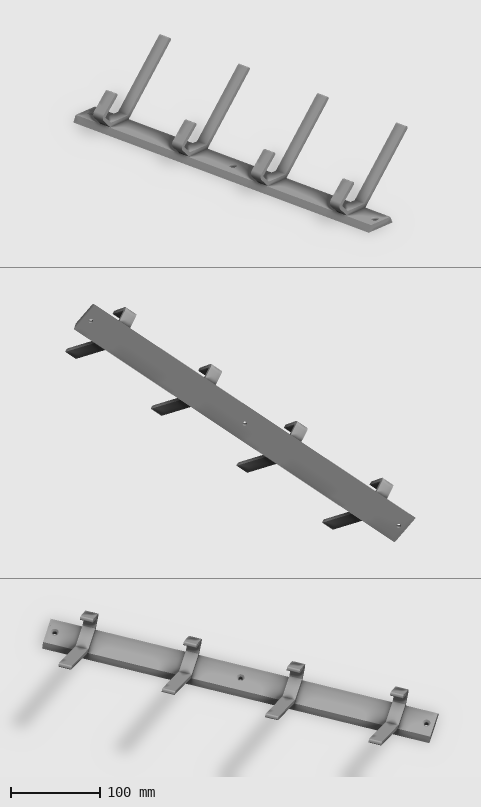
import cadquery as cq
import math


overall_length = 450.0
cap_thickness = 2.0
rail_length = overall_length - 2 * cap_thickness
rail_back_width = 39.0
rail_face_width = 31.5
rail_height = 8.0

screw_spacing = 216.0
screw_count = 3
screw_hole_diameter = 5.0
countersink_diameter = 9.0
countersink_angle = 90.0

hook_count = 4
hook_pitch = 120.0
hook_width = 15.0
strip_thickness = 4.5
foot_thickness = 5.5
arm_angle = 46.9
lip_angle = 45.0
foot_half_length = 15.0
overall_height = 86.0
lip_top_height = 46.5
tip_radius = 2.0
front_bend_height = 23.0
front_bend_outer_radius = 6.0
front_bend_inner_radius = front_bend_outer_radius - strip_thickness


def spaced(count, pitch):
    """Positions of evenly spaced items, centred on zero."""
    return [(i - (count - 1) / 2) * pitch for i in range(count)]


def bevelled_bar(start_x, length):
    """Bar along X with the rail's trapezoid section."""
    section = [
        (-rail_back_width / 2, 0),
        (rail_back_width / 2, 0),
        (rail_face_width / 2, rail_height),
        (-rail_face_width / 2, rail_height),
    ]
    return cq.Workplane("YZ", origin=(start_x, 0, 0)).polyline(section).close().extrude(length)


def make_rail():
    """Bevelled bar between the end caps, with a row of countersunk screw holes."""
    rail = bevelled_bar(-rail_length / 2, rail_length)
    return (
        rail.faces(">Z").workplane(origin=(0, 0, rail_height))
        .pushPoints([(x, 0) for x in spaced(screw_count, screw_spacing)])
        .cskHole(screw_hole_diameter, countersink_diameter, countersink_angle)
    )


def make_end_cap(start_x):
    """Thin plate with the rail's section that closes one end of the rail."""
    return bevelled_bar(start_x, cap_thickness)


def sloped(point, length, angle):
    """The (Y, Z) point reached from another by a straight move at an angle from +Y, in degrees."""
    y, z = point
    return (y + length * math.cos(math.radians(angle)), z + length * math.sin(math.radians(angle)))


def point_at_height(start, angle, height):
    """Where a line from a (Y, Z) point at a slope above +Y reaches a height."""
    return sloped(start, (height - start[1]) / math.sin(math.radians(angle)), angle)


def foot_inner_half(angle):
    """Y distance from the rail centre to where a leg at a slope leaves the top of the foot."""
    slope = math.radians(angle)
    return foot_half_length + foot_thickness / math.tan(slope) - strip_thickness / math.sin(slope)


def corner_overshoot(angle):
    """How far a square strip end's top corner stands above its rounded form, at a strip slope."""
    slope = math.radians(angle)
    return tip_radius * (math.sin(slope) + math.cos(slope) - 1)


def round_edge(body, corner, radius):
    """Fillet the X-direction edge that passes through a (Y, Z) corner."""
    nearest = cq.selectors.NearestToPointSelector((0, *corner))
    return body.edges("|X").edges(nearest).fillet(radius)


def make_hook(center_x):
    """Bent strip: long arm, slightly thicker flat foot, short leg and folded-back lip."""
    foot_top = rail_height + foot_thickness

    foot_back = (foot_half_length, rail_height)
    foot_front = (-foot_half_length, rail_height)
    foot_back_inner = (foot_inner_half(arm_angle), foot_top)
    foot_front_inner = (-foot_inner_half(lip_angle), foot_top)
    bend_outer = point_at_height(foot_front, 180 - lip_angle, front_bend_height)
    bend_inner = sloped(bend_outer, strip_thickness / math.sin(math.radians(lip_angle)), 0)

    arm_corner_height = overall_height + corner_overshoot(arm_angle)
    arm_end_height = arm_corner_height - strip_thickness * math.cos(math.radians(arm_angle))
    lip_end_height = lip_top_height + corner_overshoot(lip_angle)
    arm_outer_end = point_at_height(foot_back, arm_angle, arm_end_height)
    arm_inner_end = sloped(arm_outer_end, strip_thickness, arm_angle + 90)
    lip_outer_end = point_at_height(bend_outer, lip_angle, lip_end_height)
    lip_inner_end = sloped(lip_outer_end, strip_thickness, lip_angle - 90)

    outline = [
        arm_outer_end,
        foot_back,
        foot_front,
        bend_outer,
        lip_outer_end,
        lip_inner_end,
        bend_inner,
        foot_front_inner,
        foot_back_inner,
        arm_inner_end,
    ]
    hook = cq.Workplane("YZ").polyline(outline).close().extrude(hook_width / 2, both=True)
    for strip_end in (arm_outer_end, arm_inner_end, lip_outer_end, lip_inner_end):
        hook = round_edge(hook, strip_end, tip_radius)
    hook = round_edge(hook, bend_outer, front_bend_outer_radius)
    hook = round_edge(hook, bend_inner, front_bend_inner_radius)
    return hook.translate((center_x, 0, 0))


rail = make_rail()
end_caps = [make_end_cap(x) for x in (-overall_length / 2, rail_length / 2)]
hooks = [make_hook(x) for x in spaced(hook_count, hook_pitch)]

result = cq.Compound.makeCompound(
    [rail.val()] + [cap.val() for cap in end_caps] + [hook.val() for hook in hooks]
)